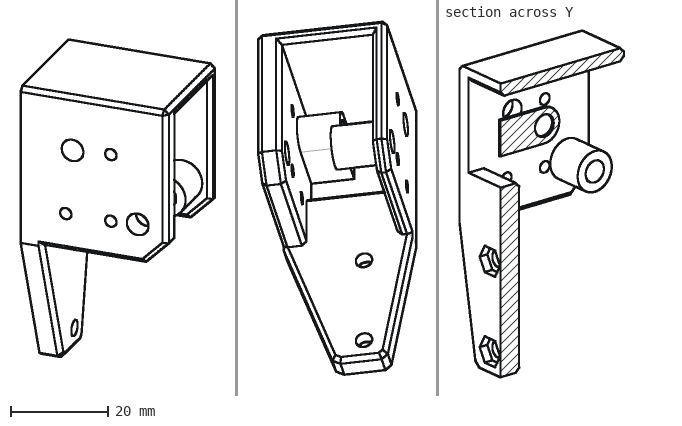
import cadquery as cq
import math

LENGTH_X = 32.5
WIDTH_Y = 27.0
HEIGHT_Z = 65.0
HOUSING_BOTTOM_Z = 30.0
PLATE_THICKNESS = 5.0
EDGE_CHAMFER = 1.0
HOUSING_CORNER_CUT = 5.0
TOLERANCE = 0.01

FOOT_FLAT_Y = (11.9, 20.5)
FOOT_MIN_Y_CORNER = (10.2, 1.0)
FOOT_MAX_Y_CORNER = (21.8, 1.15)
PLATE_SHOULDER_Z = HOUSING_BOTTOM_Z + EDGE_CHAMFER

MIN_Y_WALL = 5.0
MAX_Y_WALL = 3.0
TOP_WALL = 3.0
WINDOW_BOTTOM_Z = 42.0
CAVITY_Y = (MIN_Y_WALL, WIDTH_Y - MAX_Y_WALL)
CAVITY_TOP_Z = HEIGHT_Z - TOP_WALL

UPPER_BOLT = (11.55, 52.8)
LOWER_BOLT = (26.0, 38.6)
BOLT_DIAMETER = 4.8
SCREW_DIAMETER = 2.5
SCREW_NEAR_X = 10.05
SCREW_FAR_X = 20.05
SCREW_LOW_Z = 38.3
SCREW_HIGH_Z = 53.3
SCREWS = [
    (SCREW_NEAR_X, SCREW_LOW_Z),
    (SCREW_FAR_X, SCREW_LOW_Z),
    (SCREW_FAR_X, SCREW_HIGH_Z),
]

BOSS_DEPTH = 9.0
UPPER_BOSS_RADIUS = 4.0
LOWER_BOSS_RADIUS = 4.5

MOUNT_Y = 17.0
MOUNT_LOW_Z = 4.6
MOUNT_SPACING = 20.0
MOUNT_DIAMETER = 3.4
NUT_ACROSS_FLATS = 5.8
NUT_POCKET_DEPTH = 2.0


def box(x_range, y_range, z_range):
    """Axis-aligned box given by its (min, max) ranges."""
    sizes = [high - low for low, high in (x_range, y_range, z_range)]
    corner = (x_range[0], y_range[0], z_range[0])
    return cq.Workplane("XY").box(*sizes, centered=False).translate(corner)


def rod_along_y(center, diameter, y_start, y_end):
    """Cylinder parallel to Y around an (x, z) centre."""
    plane = cq.Workplane("XZ", origin=(0, y_start, 0))
    return plane.center(*center).circle(diameter / 2).extrude(y_start - y_end)


def housing_shell():
    """Chamfered block with its lower +X corner cut off, hollowed from +X and -Z."""
    outline = [
        (0, HOUSING_BOTTOM_Z),
        (LENGTH_X - HOUSING_CORNER_CUT, HOUSING_BOTTOM_Z),
        (LENGTH_X, HOUSING_BOTTOM_Z + HOUSING_CORNER_CUT),
        (LENGTH_X, HEIGHT_Z),
        (0, HEIGHT_Z),
    ]
    block = cq.Workplane("XZ").polyline(outline).close().extrude(-WIDTH_Y)
    block = block.edges("((<Y or >Y) and (not <X)) or (>X and >Z)").chamfer(EDGE_CHAMFER)

    cavity = box((0, LENGTH_X), CAVITY_Y, (HOUSING_BOTTOM_Z, CAVITY_TOP_Z))
    shell = block.cut(cavity)

    inside = (EDGE_CHAMFER, CAVITY_Y[0] - TOLERANCE, 0)
    outside = (LENGTH_X + TOLERANCE, CAVITY_Y[1] + TOLERANCE, CAVITY_TOP_Z + TOLERANCE)
    mouth = cq.selectors.BoxSelector(inside, outside)
    ceiling_start = (0, 0, CAVITY_TOP_Z - TOLERANCE)
    ceiling_end = (LENGTH_X - EDGE_CHAMFER, WIDTH_Y, CAVITY_TOP_Z + TOLERANCE)
    ceiling_sides = cq.selectors.BoxSelector(ceiling_start, ceiling_end)
    return shell.edges(mouth - ceiling_sides).chamfer(EDGE_CHAMFER)


def mounting_plate():
    """Tapered plate at X=0 with a chamfered +X outline, running up inside the housing."""
    outline = [
        FOOT_MIN_Y_CORNER,
        (FOOT_FLAT_Y[0], 0),
        (FOOT_FLAT_Y[1], 0),
        FOOT_MAX_Y_CORNER,
        (WIDTH_Y, HOUSING_BOTTOM_Z),
        (WIDTH_Y, PLATE_SHOULDER_Z),
        (0, PLATE_SHOULDER_Z),
        (0, HOUSING_BOTTOM_Z),
    ]
    plate = cq.Workplane("YZ").polyline(outline).close().extrude(PLATE_THICKNESS)
    plate = plate.edges(">X and (not >Z)").chamfer(EDGE_CHAMFER)
    sill = box((0, PLATE_THICKNESS), CAVITY_Y, (HOUSING_BOTTOM_Z, WINDOW_BOTTOM_Z))
    sill = sill.edges(">X and >Z").chamfer(EDGE_CHAMFER)
    return plate.union(sill)


def window_bevel():
    """Wedge that widens the top of the window towards X=0."""
    profile = [
        (0, CAVITY_TOP_Z),
        (EDGE_CHAMFER, CAVITY_TOP_Z),
        (0, CAVITY_TOP_Z + EDGE_CHAMFER),
    ]
    plane = cq.Workplane("XZ", origin=(0, CAVITY_Y[0], 0))
    return plane.polyline(profile).close().extrude(CAVITY_Y[0] - CAVITY_Y[1])


def upper_boss():
    """Round-ended bar from the X=0 face to the upper bolt, on the -Y wall."""
    bolt_x, bolt_z = UPPER_BOLT
    y_end = CAVITY_Y[0] + BOSS_DEPTH
    bar = box(
        (0, bolt_x),
        (CAVITY_Y[0], y_end),
        (bolt_z - UPPER_BOSS_RADIUS, bolt_z + UPPER_BOSS_RADIUS),
    )
    return bar.union(rod_along_y(UPPER_BOLT, 2 * UPPER_BOSS_RADIUS, CAVITY_Y[0], y_end))


def lower_boss():
    """Round boss for the lower bolt, on the +Y wall."""
    y_start = CAVITY_Y[1] - BOSS_DEPTH
    return rod_along_y(LOWER_BOLT, 2 * LOWER_BOSS_RADIUS, y_start, CAVITY_Y[1])


def mount_hole(z):
    """Through hole along X with a hexagonal nut pocket at X=0."""
    plane = cq.Workplane("YZ", origin=(0, MOUNT_Y, z))
    hole = plane.circle(MOUNT_DIAMETER / 2).extrude(PLATE_THICKNESS)
    across_corners = NUT_ACROSS_FLATS / math.cos(math.pi / 6)
    return hole.union(plane.polygon(6, across_corners).extrude(NUT_POCKET_DEPTH))


result = housing_shell().union(mounting_plate())
result = result.cut(window_bevel()).union(upper_boss()).union(lower_boss())

for bolt in (UPPER_BOLT, LOWER_BOLT):
    result = result.cut(rod_along_y(bolt, BOLT_DIAMETER, 0, WIDTH_Y))
for screw in SCREWS:
    result = result.cut(rod_along_y(screw, SCREW_DIAMETER, 0, WIDTH_Y))
for mount_z in (MOUNT_LOW_Z, MOUNT_LOW_Z + MOUNT_SPACING):
    result = result.cut(mount_hole(mount_z))